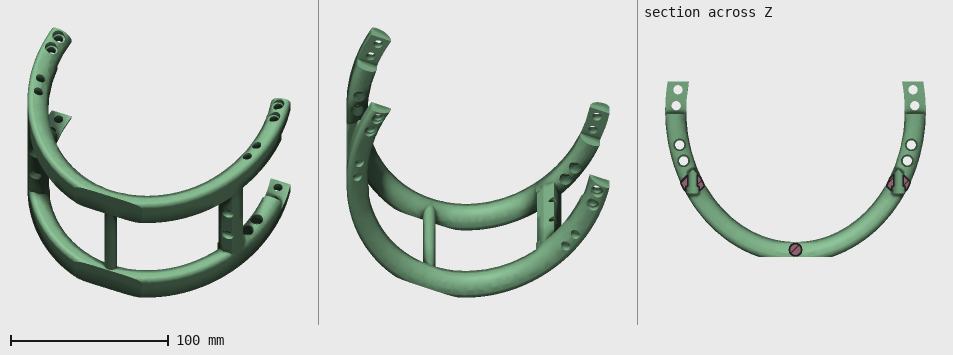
import cadquery as cq

overall_height = 100.0
ring_height = 20.0
gap_half = overall_height / 2 - ring_height
ring_mid_z = overall_height / 2 - ring_height / 2

outer_rx = 82.5
outer_ry = 96.2
wall = 13.3
inner_rx = outer_rx - wall
inner_ry = outer_ry - wall
depth = 111.0
flat_y = -92.4
open_end_y = flat_y + depth

outer_round = 3.0
inner_round = 9.9
rear_outer_round = 5.0
rear_inner_round = 6.5

tab_length = 20.3
tab_thickness = ring_height / 2
tab_start_y = open_end_y - tab_length

rod_diameter = 8.0
rod_inset = 4.6
rod_y = flat_y + rod_inset

post_front_y = -52.2
post_front_outer_x = 68.4
post_front_inner_x = 62.2
post_inner_front_x = 57.5
post_inner_front_y = -47.4
post_inner_rear_x = 59.7
post_inner_rear_y = -42.3
post_ridge_x = 65.0
post_ridge_y = -37.0
post_outer_rear_x = 72.8
post_outer_rear_y = -44.8
outer_chamfer_x = 72.0
outer_chamfer_y = -48.3
post_outline = [
    (post_front_outer_x, post_front_y),
    (outer_chamfer_x, outer_chamfer_y),
    (outer_rx, outer_chamfer_y),
    (outer_rx, post_outer_rear_y),
    (post_outer_rear_x, post_outer_rear_y),
    (post_ridge_x, post_ridge_y),
    (post_inner_rear_x, post_inner_rear_y),
    (post_inner_front_x, post_inner_front_y),
    (post_front_inner_x, post_front_y),
]

hole_diameter = 5.8
counterbore_diameter = 8.0
tab_counterbore_depth = 4.0
post_counterbore_depth = 4.5
ring_counterbore_depth = 10.0
post_hole_x = 65.2
post_hole_z = 11.5
tab_hole_points = [(74.4, open_end_y - 5.1), (75.5, open_end_y - 15.2)]
ring_hole_points = [(73.3, open_end_y - 40.0), (70.8, open_end_y - 50.1)]


def ellipse_prism(rx, ry, height):
    """Upright prism on Z = 0 with an elliptical plan."""
    return cq.Workplane("XY").ellipse(rx, ry).extrude(height)


def slab_between(y_low, y_high):
    """Box spanning the whole part in X and Z between two Y positions."""
    slab = cq.Workplane("XY").box(4 * outer_rx, y_high - y_low, 2 * overall_height)
    return slab.translate((0, (y_low + y_high) / 2, 0))


def edges_of_bore(band, face):
    """Bore edges of the chosen flat face of a band."""
    margin = 1.0
    low = (-inner_rx - margin, -inner_ry - margin, -margin)
    high = (inner_rx + margin, inner_ry + margin, ring_height + margin)
    return band.faces(face).edges(cq.selectors.BoxSelector(low, high, boundingbox=True))


def band_with_rounded_outer_face():
    """Closed band from Z = 0, rounded on the face turned away from the gap."""
    core = ellipse_prism(outer_rx, outer_ry, ring_height).faces(">Z").edges().fillet(outer_round)
    band = core.cut(ellipse_prism(inner_rx, inner_ry, ring_height))
    return edges_of_bore(band, ">Z").fillet(inner_round)


def outer_edge(band, face):
    """Outer edge of the chosen flat face of a band, the longest one there."""
    return band.faces(face).edges(cq.selectors.LengthNthSelector(-1))


def gap_edge_waste(band, outer_radius, bore_radius, y_low, y_high):
    """Material that rounding the gap-side edges of a band removes between two Y positions."""
    rounded = edges_of_bore(band, "<Z").fillet(bore_radius)
    rounded = outer_edge(rounded, "<Z").fillet(outer_radius)
    return band.cut(rounded).intersect(slab_between(y_low, y_high))


def upper_ring():
    """Ring above the gap, with its flat, open ends and half-height tabs."""
    band = band_with_rounded_outer_face()
    front_waste = gap_edge_waste(band, outer_round, inner_round, -outer_ry, post_inner_front_y)
    rear_waste = gap_edge_waste(band, rear_outer_round, rear_inner_round, post_outer_rear_y, open_end_y)
    ring = band.cut(front_waste).cut(rear_waste).intersect(slab_between(flat_y, open_end_y))
    tab_relief = (
        cq.Workplane("XY")
        .box(4 * outer_rx, tab_length, ring_height - tab_thickness, centered=(True, False, False))
        .translate((0, tab_start_y, 0))
    )
    return ring.cut(tab_relief).translate((0, 0, gap_half))


def post():
    """Post on the +X side, reaching to mid-height of both rings."""
    height = 2 * ring_mid_z
    prism = cq.Workplane("XY").polyline(post_outline).close().extrude(height)
    shell = ellipse_prism(outer_rx, outer_ry, height).cut(ellipse_prism(inner_rx, inner_ry, height))
    return prism.intersect(shell).translate((0, 0, -ring_mid_z))


def rod():
    """Round bar joining the rings at the middle of the flat."""
    return (
        cq.Workplane("XY")
        .center(0, rod_y)
        .circle(rod_diameter / 2)
        .extrude(2 * ring_mid_z)
        .translate((0, 0, -ring_mid_z))
    )


def vertical_screw(x, y, floor_z, mouth_z):
    """Through hole along Z with a counterbore from floor_z out to mouth_z."""
    shank = cq.Workplane("XY").center(x, y).circle(hole_diameter / 2).extrude(overall_height)
    head = (
        cq.Workplane("XY")
        .workplane(offset=floor_z)
        .center(x, y)
        .circle(counterbore_diameter / 2)
        .extrude(mouth_z - floor_z)
    )
    return shank.union(head)


def post_screw(z):
    """Hole along Y through the +X post, counterbored from the front."""
    axis = cq.Workplane("XZ", origin=(post_hole_x, 0, z))
    shank = axis.circle(hole_diameter / 2).extrude(-flat_y)
    head = axis.workplane(offset=-post_front_y - post_counterbore_depth).circle(counterbore_diameter / 2)
    return shank.union(head.extrude(post_front_y - flat_y))


top_z = overall_height / 2
ring = upper_ring()
for x, y in tab_hole_points:
    for side in (-1, 1):
        ring = ring.cut(vertical_screw(side * x, y, top_z - tab_counterbore_depth, top_z))
for x, y in ring_hole_points:
    for side in (-1, 1):
        ring = ring.cut(vertical_screw(side * x, y, 0, gap_half + ring_counterbore_depth))

right_post = post()
for z in (-post_hole_z, post_hole_z):
    right_post = right_post.cut(post_screw(z))

result = ring.union(ring.mirror("XY"))
result = result.union(right_post).union(right_post.mirror("YZ")).union(rod()).clean()